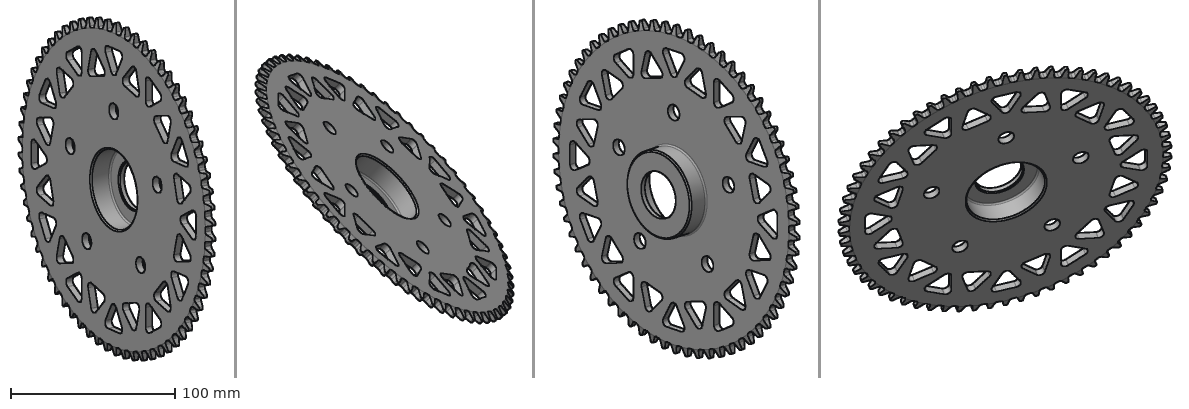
import cadquery as cq
import math


TOOTH_COUNT = 66
TIP_RADIUS = 106.0
ROOT_RADIUS = 100.0
PLATE_THICKNESS = 5.0
TIP_THICKNESS = 2.5
TAPER_OVERRUN = 1.0
TIP_LAND_HALF_WIDTH = 0.2
TIP_ROUND_RADIUS = 1.1
FLANK_ANGLE = math.radians(14)
ROOT_FILLET = 1.75

HUB_DIAMETER = 56.0
OVERALL_LENGTH = 18.0
COUNTERBORE_DIAMETER = 50.0
COUNTERBORE_DEPTH = 14.0
BORE_DIAMETER = 30.0
EDGE_CHAMFER = 1.0
BORE_CHAMFER = 0.75
HUB_FILLET = 1.0
FLOOR_FILLET = 1.0

BOLT_COUNT = 5
BOLT_DIAMETER = 10.0
BOLT_CIRCLE_RADIUS = 50.0

WINDOW_PAIR_COUNT = 12
WINDOW_CORNER_RADIUS = 3.0
WINDOW_BAND_OUTER = 90.0
WINDOW_BAND_INNER = 70.0


def polar(radius, angle):
    """Sketch point at an angle measured in radians from the +Z direction."""
    return (radius * math.sin(angle), radius * math.cos(angle))


def front_sketch():
    """XZ sketch plane on the plate front face, with +X right and +Z up."""
    return cq.Workplane("XZ")


def half_tooth_profile():
    """Points (radius, angle from the tooth center) from the tip land down one flank to the root.

    The flank is a straight line, tangent to the tip round above it and to the root fillet below it.
    """
    land = (TIP_RADIUS, TIP_LAND_HALF_WIDTH / TIP_RADIUS)
    half_turn = (math.pi / 2 + FLANK_ANGLE) / 2

    def from_center(offset, height, radius, direction):
        across = offset + radius * math.cos(direction)
        along = height + radius * math.sin(direction)
        return (math.hypot(across, along), math.atan2(across, along))

    tip_center = (TIP_LAND_HALF_WIDTH, TIP_RADIUS - TIP_ROUND_RADIUS)
    tip_middle = from_center(*tip_center, TIP_ROUND_RADIUS, half_turn)
    flank_top = from_center(*tip_center, TIP_ROUND_RADIUS, FLANK_ANGLE)

    flank_distance = (
        tip_center[0] * math.cos(FLANK_ANGLE) + tip_center[1] * math.sin(FLANK_ANGLE) + TIP_ROUND_RADIUS
    )
    fillet_center_radius = ROOT_RADIUS + ROOT_FILLET
    fillet_angle = math.asin((flank_distance + ROOT_FILLET) / fillet_center_radius) - FLANK_ANGLE
    fillet_center = polar(fillet_center_radius, fillet_angle)
    fillet_middle_direction = (FLANK_ANGLE + math.pi / 2 - fillet_angle) / 2
    flank_foot = from_center(*fillet_center, -ROOT_FILLET, FLANK_ANGLE)
    fillet_middle = from_center(*fillet_center, -ROOT_FILLET, fillet_middle_direction)
    root_start = (ROOT_RADIUS, fillet_angle)
    return [land, tip_middle, flank_top, flank_foot, fillet_middle, root_start]


def make_toothed_disc():
    pitch_angle = 2 * math.pi / TOOTH_COUNT
    profile = half_tooth_profile()
    land_angle = profile[0][1]

    outline = front_sketch().moveTo(*polar(TIP_RADIUS, -land_angle))
    for tooth in range(TOOTH_COUNT):
        center = tooth * pitch_angle
        following = center + pitch_angle
        land, tip_middle, flank_top, flank_foot, fillet_middle, root_start = [
            polar(radius, center + angle) for radius, angle in profile
        ]
        next_land, next_tip_middle, next_flank_top, next_flank_foot, next_fillet_middle, root_end = [
            polar(radius, following - angle) for radius, angle in profile
        ]
        outline = (
            outline
            .threePointArc(polar(TIP_RADIUS, center), land)
            .threePointArc(tip_middle, flank_top)
            .lineTo(*flank_foot)
            .threePointArc(fillet_middle, root_start)
            .threePointArc(polar(ROOT_RADIUS, center + pitch_angle / 2), root_end)
            .threePointArc(next_fillet_middle, next_flank_foot)
            .lineTo(*next_flank_top)
            .threePointArc(next_tip_middle, next_land)
        )
    return outline.close().extrude(-PLATE_THICKNESS)


def make_side_taper(face_y, inward):
    """Wedge-section ring that thins one side of the teeth from the root out to the tip.

    The inward argument is +1 or -1, the direction along Y from the face into the plate.
    """
    outer_radius = TIP_RADIUS + TAPER_OVERRUN
    slope = (PLATE_THICKNESS - TIP_THICKNESS) / 2 / (TIP_RADIUS - ROOT_RADIUS)
    setback = slope * (outer_radius - ROOT_RADIUS)
    return (
        cq.Workplane("XY")
        .moveTo(ROOT_RADIUS, face_y)
        .lineTo(outer_radius, face_y)
        .lineTo(outer_radius, face_y + inward * setback)
        .close()
        .revolve(360, (0, 0, 0), (0, 1, 0))
    )


def make_hub():
    """Hub with a chamfered end and a fillet where it meets the plate."""
    radius = HUB_DIAMETER / 2
    arc_inset = HUB_FILLET * (1 - math.sqrt(0.5))
    return (
        cq.Workplane("XY")
        .moveTo(0, 0)
        .lineTo(radius + HUB_FILLET, 0)
        .lineTo(radius + HUB_FILLET, PLATE_THICKNESS)
        .threePointArc(
            (radius + arc_inset, PLATE_THICKNESS + arc_inset),
            (radius, PLATE_THICKNESS + HUB_FILLET),
        )
        .lineTo(radius, OVERALL_LENGTH - EDGE_CHAMFER)
        .lineTo(radius - EDGE_CHAMFER, OVERALL_LENGTH)
        .lineTo(0, OVERALL_LENGTH)
        .close()
        .revolve(360, (0, 0, 0), (0, 1, 0))
    )


def make_stepped_bore():
    """Cutter for the counterbore, its rounded floor corner and the through bore."""
    wide = COUNTERBORE_DIAMETER / 2
    narrow = BORE_DIAMETER / 2
    arc_inset = FLOOR_FILLET * (1 - math.sqrt(0.5))
    return (
        cq.Workplane("XY")
        .moveTo(0, 0)
        .lineTo(wide + EDGE_CHAMFER, 0)
        .lineTo(wide, EDGE_CHAMFER)
        .lineTo(wide, COUNTERBORE_DEPTH - FLOOR_FILLET)
        .threePointArc(
            (wide - arc_inset, COUNTERBORE_DEPTH - arc_inset),
            (wide - FLOOR_FILLET, COUNTERBORE_DEPTH),
        )
        .lineTo(narrow + BORE_CHAMFER, COUNTERBORE_DEPTH)
        .lineTo(narrow, COUNTERBORE_DEPTH + BORE_CHAMFER)
        .lineTo(narrow, OVERALL_LENGTH)
        .lineTo(0, OVERALL_LENGTH)
        .close()
        .revolve(360, (0, 0, 0), (0, 1, 0))
    )


def make_bolt_holes():
    step = 2 * math.pi / BOLT_COUNT
    centers = [polar(BOLT_CIRCLE_RADIUS, i * step) for i in range(BOLT_COUNT)]
    return front_sketch().pushPoints(centers).circle(BOLT_DIAMETER / 2).extrude(-PLATE_THICKNESS)


def make_window(apex_radius, base_radius):
    """Rounded triangular cutter on the +Z axis, set by its sharp apex and its flat base."""
    half_side = abs(base_radius - apex_radius) / math.sqrt(3)
    return (
        front_sketch()
        .polyline([(0, apex_radius), (half_side, base_radius), (-half_side, base_radius)])
        .close()
        .extrude(-PLATE_THICKNESS)
        .edges("|Y")
        .fillet(WINDOW_CORNER_RADIUS)
    )


def cut_windows(body):
    inward = make_window(WINDOW_BAND_INNER, WINDOW_BAND_OUTER)
    outward = make_window(WINDOW_BAND_OUTER, WINDOW_BAND_INNER)
    step = 360 / WINDOW_PAIR_COUNT
    for i in range(WINDOW_PAIR_COUNT):
        body = body.cut(inward.rotate((0, 0, 0), (0, 1, 0), i * step))
        body = body.cut(outward.rotate((0, 0, 0), (0, 1, 0), (i + 0.5) * step))
    return body


sprocket = make_toothed_disc()
sprocket = sprocket.cut(make_side_taper(0, 1)).cut(make_side_taper(PLATE_THICKNESS, -1))
sprocket = sprocket.union(make_hub())
sprocket = sprocket.cut(make_stepped_bore()).cut(make_bolt_holes())
result = cut_windows(sprocket)